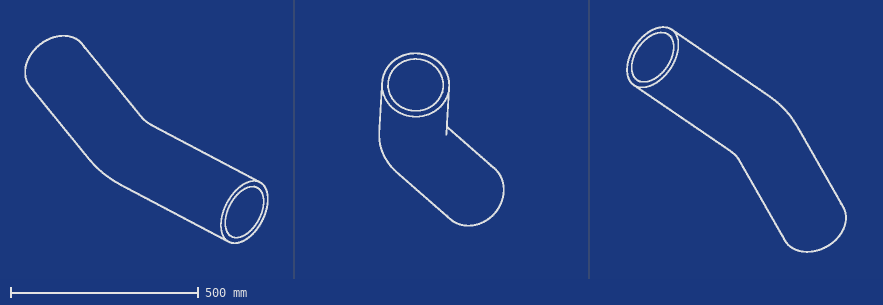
import cadquery as cq
import math

outer_diameter = 180.0
bore_diameter = 147.2

bend_angle = 22.0
bend_radius = 1.5 * outer_diameter
centre_to_end = 450.0

half_angle = math.radians(bend_angle / 2)
leg_length = centre_to_end - bend_radius * math.tan(half_angle)


def centre_line():
    """Inlet leg along +X, tangent bend toward +Y, then the outlet leg."""
    angle = math.radians(bend_angle)
    bend_centre_y = bend_radius

    def on_bend(turned):
        x = leg_length + bend_radius * math.sin(turned)
        y = bend_centre_y - bend_radius * math.cos(turned)
        return (x, y)

    bend_end = on_bend(angle)
    outlet_end = (
        bend_end[0] + leg_length * math.cos(angle),
        bend_end[1] + leg_length * math.sin(angle),
    )
    return (
        cq.Workplane("XY")
        .lineTo(leg_length, 0)
        .threePointArc(on_bend(half_angle), bend_end)
        .lineTo(*outlet_end)
    )


def pipe():
    """Ring section swept along the centre line, open at both ends."""
    ring = cq.Workplane("YZ").circle(outer_diameter / 2).circle(bore_diameter / 2)
    return ring.sweep(centre_line())


result = pipe()